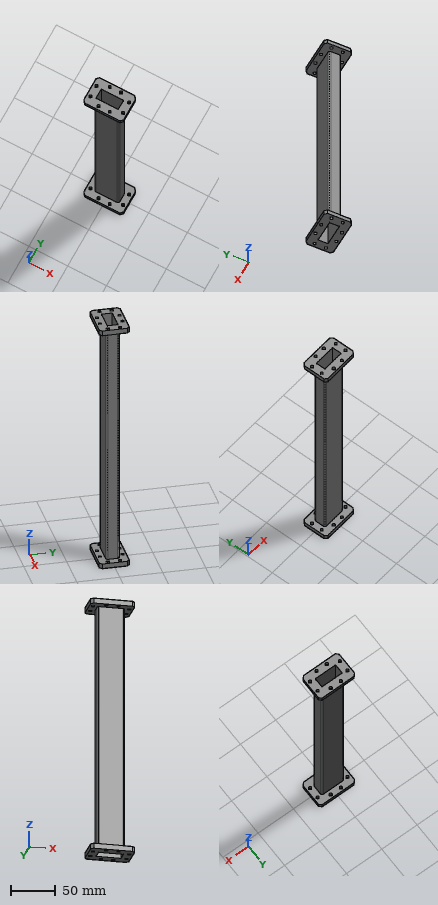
import cadquery as cq

length = 304.8

flange_width = 51.2
flange_depth = 35.0
flange_thickness = 6.0
flange_chamfer = 3.0

bore_width = 28.5
bore_depth = 12.5
wall = 1.68
tube_width = bore_width + 2 * wall
tube_depth = bore_depth + 2 * wall
tube_corner_radius = 2.5

large_hole_diameter = 3.7
small_hole_diameter = 3.5
hole_pair_spacing = 14.3
hole_row_span_x = 42.0
hole_row_span_y = 26.5


def bolt_hole_points(handedness):
    """Centres of every second hole around the flange; handedness (1 or -1) picks which four."""
    pair_offset = handedness * hole_pair_spacing / 2
    points = []
    for side in (-1, 1):
        points.append((side * pair_offset, side * hole_row_span_y / 2))
        points.append((side * hole_row_span_x / 2, -side * pair_offset))
    return points


def make_flange(bottom_z):
    """Plate with chamfered corners and bolt holes through it."""
    return (
        cq.Workplane("XY", origin=(0, 0, bottom_z))
        .rect(flange_width, flange_depth)
        .extrude(flange_thickness)
        .edges("|Z")
        .chamfer(flange_chamfer)
        .faces(">Z")
        .workplane(origin=(0, 0, 0))
        .pushPoints(bolt_hole_points(1))
        .hole(large_hole_diameter)
        .pushPoints(bolt_hole_points(-1))
        .hole(small_hole_diameter)
    )


def make_tube():
    """Solid outer body of the tube with rounded long edges."""
    return (
        cq.Workplane("XY")
        .rect(tube_width, tube_depth)
        .extrude(length)
        .edges("|Z")
        .fillet(tube_corner_radius)
    )


def make_bore():
    """Sharp-cornered passage running the full length."""
    return cq.Workplane("XY").rect(bore_width, bore_depth).extrude(length)


body = make_tube()
for flange_bottom in (0, length - flange_thickness):
    body = body.union(make_flange(flange_bottom))

result = body.cut(make_bore())